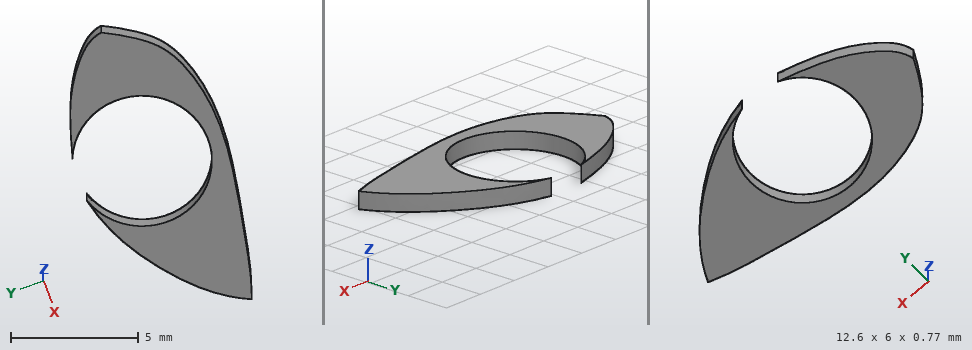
import cadquery as cq
import math

length = 12.56
thickness = 0.77

opening_x = 5.63
opening_y = 3.38
opening_radius = 2.74

left_corner = (0.0, 3.06)
right_corner = (length, 1.3)

left_tip_x = 4.61
right_tip_x = 6.44


def point_on_opening(x):
    """Point on the upper half of the opening circle at the given X."""
    return (x, opening_y + math.sqrt(opening_radius**2 - (x - opening_x) ** 2))


left_tip = point_on_opening(left_tip_x)
right_tip = point_on_opening(right_tip_x)
opening_bottom = (opening_x, opening_y - opening_radius)

upper_left_edge = [(0.24, 3.64), (0.73, 4.17), (2.12, 5.07), left_tip]
upper_right_edge = [(8.44, 5.3), (10.22, 4.15), (11.62, 2.81), right_corner]
lower_edge = [
    (11.62, 1.02),
    (10.25, 0.72),
    (7.82, 0.26),
    (5.11, 0.0),
    (2.69, 0.38),
    (1.47, 0.99),
    (0.63, 1.96),
    left_corner,
]

result = (
    cq.Workplane("XY")
    .moveTo(*left_corner)
    .spline(upper_left_edge, includeCurrent=True)
    .threePointArc(opening_bottom, right_tip)
    .spline(upper_right_edge, includeCurrent=True)
    .spline(lower_edge, includeCurrent=True)
    .close()
    .extrude(thickness)
)